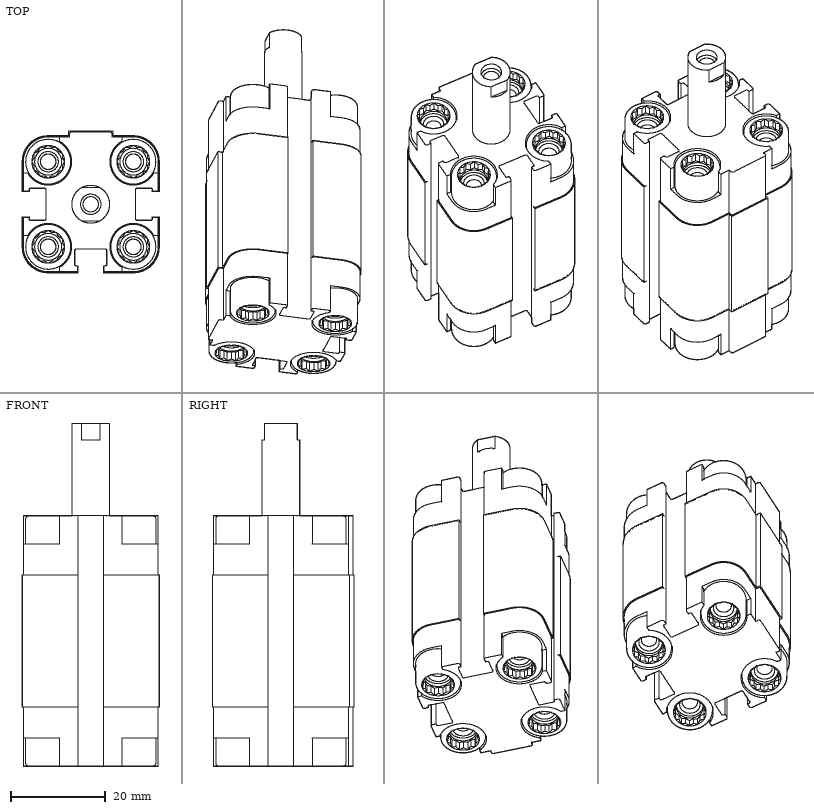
import cadquery as cq
import math


HOUSING_LENGTH = 53.0
COVER_LENGTH = 12.5
BARREL_LENGTH = HOUSING_LENGTH - 2 * COVER_LENGTH
BARREL_WIDTH = 29.0
CORNER_RADIUS = 5.5
RIB_WIDTH = 9.5
RIB_HEIGHT = 1.0
COVER_INSET = 0.25
COVER_EDGE_RADIUS = 0.4

SLOT_MOUTH_WIDTH = 5.4
SLOT_INNER_WIDTH = 6.75
SLOT_FLOOR = 9.5
SLOT_LIP_INNER = 13.0
SLOT_CORNER_RADIUS = 0.3
SLOT_ANGLES = (0, 90, -90)

BOSS_PITCH = 18.0
BOSS_DIAMETER = 9.5
BOSS_EDGE_RADIUS = 0.65
BOSS_GROOVE_DIAMETER = 9.9
NOTCH_DEPTH = 6.0
NOTCH_START = 6.65

SOCKET_ACROSS_FLATS = 6.0
SOCKET_CHAMFER = 0.35
SOCKET_DEPTH = 2.1
SEAT_DIAMETER = 5.7
SEAT_DEPTH = 2.9
COUNTERSINK_DIAMETER = 4.3
COUNTERSINK_ANGLE = 60.0
THROUGH_DIAMETER = 3.24

ROD_DIAMETER = 8.0
ROD_PROJECTION = 19.5
ROD_SEAT_DEPTH = COVER_LENGTH
ROD_ACROSS_FLATS = 7.0
ROD_FLAT_LENGTH = 3.5
ROD_RELIEF_DIAMETER = 4.3
ROD_RELIEF_DEPTH = 1.5
ROD_CORE_DIAMETER = 3.24
ROD_CORE_DEPTH = 10.0
DRILL_TIP_ANGLE = 118.0


def cone_height(large_diameter, small_diameter, included_angle):
    """Height of a cone that narrows from one diameter to the other."""
    half_angle = math.radians(included_angle / 2)
    return (large_diameter - small_diameter) / 2 / math.tan(half_angle)


def revolved(points):
    """Solid of revolution about Z from (radius, z) points."""
    return cq.Workplane("XZ").polyline(points).close().revolve(360, (0, 0, 0), (0, 1, 0))


def slotted_block(length, inset, lip_radius):
    """Rounded square with a T-slot on three sides; lip_radius rounds the slot mouths."""
    half_width = BARREL_WIDTH / 2 - inset
    half_mouth = SLOT_MOUTH_WIDTH / 2
    block = (
        cq.Workplane("XY")
        .rect(2 * half_width, 2 * half_width)
        .extrude(length)
        .edges("|Z")
        .fillet(CORNER_RADIUS - inset)
    )
    mouth = cq.Workplane("XY").moveTo(-half_mouth, -SLOT_FLOOR)
    if lip_radius:
        mouth = mouth.lineTo(-half_mouth, -half_width + lip_radius)
        mouth = mouth.radiusArc((-half_mouth - lip_radius, -half_width), lip_radius)
        mouth = mouth.lineTo(half_mouth + lip_radius, -half_width)
        mouth = mouth.radiusArc((half_mouth, -half_width + lip_radius), lip_radius)
    else:
        mouth = mouth.lineTo(-half_mouth, -half_width).lineTo(half_mouth, -half_width)
    mouth = mouth.lineTo(half_mouth, -SLOT_FLOOR).close().extrude(length)
    chamber = (
        cq.Workplane("XY")
        .rect(SLOT_INNER_WIDTH, SLOT_LIP_INNER - SLOT_FLOOR)
        .extrude(length)
        .edges("|Z")
        .fillet(SLOT_CORNER_RADIUS)
        .translate((0, -(SLOT_LIP_INNER + SLOT_FLOOR) / 2, 0))
    )
    slot = mouth.union(chamber)
    for angle in SLOT_ANGLES:
        block = block.cut(slot.rotate((0, 0, 0), (0, 0, 1), angle))
    return block


def side_rib(length, inset):
    """Flat rib along the +Y side, reaching inwards as far as the slot floors."""
    outer_face = BARREL_WIDTH / 2 + RIB_HEIGHT - inset
    return (
        cq.Workplane("XY")
        .box(RIB_WIDTH - 2 * inset, outer_face - SLOT_FLOOR, length, centered=(True, False, False))
        .translate((0, SLOT_FLOOR, 0))
    )


def corner_notches():
    """Material removed around the four bosses of the lower cover."""
    notch_size = BARREL_WIDTH / 2 - NOTCH_START
    notch = (
        cq.Workplane("XY")
        .box(notch_size, notch_size, NOTCH_DEPTH, centered=False)
        .translate((NOTCH_START, NOTCH_START, 0))
    )
    boss_radius = BOSS_DIAMETER / 2
    boss_center = (BOSS_PITCH / 2, BOSS_PITCH / 2, 0)
    groove = (
        cq.Workplane("XY")
        .circle(BOSS_GROOVE_DIAMETER / 2)
        .extrude(NOTCH_DEPTH)
        .translate(boss_center)
    )
    boss = cq.Workplane("XY").circle(boss_radius).extrude(NOTCH_DEPTH).translate(boss_center)
    rounding = (
        cq.Workplane("XZ")
        .moveTo(boss_radius - BOSS_EDGE_RADIUS, 0)
        .lineTo(boss_radius, 0)
        .lineTo(boss_radius, BOSS_EDGE_RADIUS)
        .radiusArc((boss_radius - BOSS_EDGE_RADIUS, 0), BOSS_EDGE_RADIUS)
        .close()
        .revolve(360, (0, 0, 0), (0, 1, 0))
        .translate(boss_center)
    )
    corner = notch.union(groove).cut(boss).union(rounding)
    notches = corner
    for angle in (90, 180, 270):
        notches = notches.union(corner.rotate((0, 0, 0), (0, 0, 1), angle))
    return notches


def lower_cover():
    rib = side_rib(COVER_LENGTH, COVER_INSET).edges("|Z and >Y").fillet(COVER_EDGE_RADIUS)
    block = slotted_block(COVER_LENGTH, COVER_INSET, COVER_EDGE_RADIUS)
    return block.union(rib).cut(corner_notches())


def boss_hole_end():
    """Socket, seat and countersink cutter entering a boss upwards from z = 0."""
    corner_diameter = SOCKET_ACROSS_FLATS / math.cos(math.pi / 6)
    hexagon = cq.Workplane("XY").polygon(6, corner_diameter).extrude(SOCKET_DEPTH)
    socket = hexagon.union(hexagon.rotate((0, 0, 0), (0, 0, 1), 30))
    entry_radius = corner_diameter / 2
    chamfer = revolved([
        (0, 0),
        (entry_radius, 0),
        (entry_radius - SOCKET_CHAMFER, SOCKET_CHAMFER),
        (0, SOCKET_CHAMFER),
    ])
    countersink_depth = SEAT_DEPTH + cone_height(
        COUNTERSINK_DIAMETER, THROUGH_DIAMETER, COUNTERSINK_ANGLE
    )
    bore = revolved([
        (0, 0),
        (SEAT_DIAMETER / 2, 0),
        (SEAT_DIAMETER / 2, SEAT_DEPTH),
        (COUNTERSINK_DIAMETER / 2, SEAT_DEPTH),
        (THROUGH_DIAMETER / 2, countersink_depth),
        (0, countersink_depth),
    ])
    return socket.union(chamfer).union(bore)


def mirrored_end(end):
    """The same feature at the upper end of the housing."""
    return end.mirror("XY").translate((0, 0, HOUSING_LENGTH))


def make_housing():
    cover = lower_cover()
    barrel = slotted_block(BARREL_LENGTH, 0, 0).union(side_rib(BARREL_LENGTH, 0))
    housing = cover.union(barrel.translate((0, 0, COVER_LENGTH))).union(mirrored_end(cover))
    through_hole = cq.Workplane("XY").circle(THROUGH_DIAMETER / 2).extrude(HOUSING_LENGTH)
    hole_end = boss_hole_end()
    boss_hole = through_hole.union(hole_end).union(mirrored_end(hole_end))
    for x_side in (-1, 1):
        for y_side in (-1, 1):
            center = (x_side * BOSS_PITCH / 2, y_side * BOSS_PITCH / 2, 0)
            housing = housing.cut(boss_hole.translate(center))
    rod_seat = (
        cq.Workplane("XY", origin=(0, 0, HOUSING_LENGTH))
        .circle(ROD_DIAMETER / 2)
        .extrude(-ROD_SEAT_DEPTH)
    )
    return housing.cut(rod_seat)


def make_rod():
    rod_top = HOUSING_LENGTH + ROD_PROJECTION
    rod = (
        cq.Workplane("XY", origin=(0, 0, rod_top))
        .circle(ROD_DIAMETER / 2)
        .extrude(-ROD_PROJECTION - ROD_SEAT_DEPTH)
    )
    flats = (
        cq.Workplane("XY", origin=(0, 0, rod_top))
        .rect(ROD_DIAMETER, ROD_DIAMETER)
        .rect(ROD_DIAMETER, ROD_ACROSS_FLATS)
        .extrude(-ROD_FLAT_LENGTH)
    )
    relief_tip = ROD_RELIEF_DEPTH + cone_height(
        ROD_RELIEF_DIAMETER, ROD_CORE_DIAMETER, DRILL_TIP_ANGLE
    )
    core_tip = ROD_CORE_DEPTH + cone_height(ROD_CORE_DIAMETER, 0, DRILL_TIP_ANGLE)
    threaded_hole = revolved([
        (0, 0),
        (ROD_RELIEF_DIAMETER / 2, 0),
        (ROD_RELIEF_DIAMETER / 2, -ROD_RELIEF_DEPTH),
        (ROD_CORE_DIAMETER / 2, -relief_tip),
        (ROD_CORE_DIAMETER / 2, -ROD_CORE_DEPTH),
        (0, -core_tip),
    ]).translate((0, 0, rod_top))
    return rod.cut(flats).cut(threaded_hole)


housing = make_housing()
piston_rod = make_rod()

result = cq.Compound.makeCompound([housing.val(), piston_rod.val()])